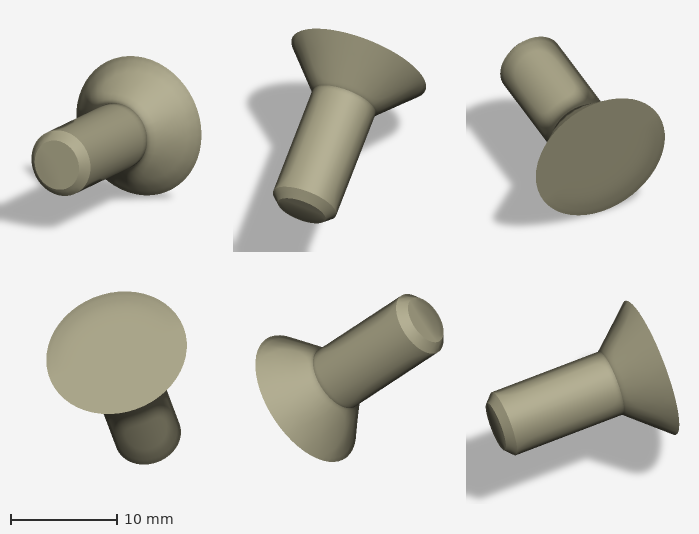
import cadquery as cq

total_length = 15.88
head_diameter = 13.48
head_height = 4.1
shank_diameter = 6.35
tip_chamfer = 0.8

head_radius = head_diameter / 2
shank_radius = shank_diameter / 2
shank_length = total_length - head_height

half_profile = [
    (0, 0),
    (shank_radius - tip_chamfer, 0),
    (shank_radius, tip_chamfer),
    (shank_radius, shank_length),
    (head_radius, total_length),
    (0, total_length),
]

result = (
    cq.Workplane("XY")
    .polyline(half_profile)
    .close()
    .revolve(360, (0, 0, 0), (0, 1, 0))
)